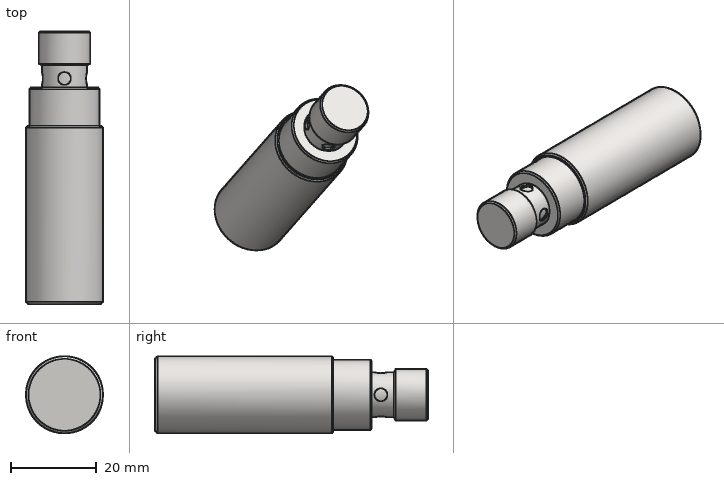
import cadquery as cq

total_length = 63.6
front_y = -total_length / 2
rear_y = total_length / 2

body_diameter = 18.0
sleeve_diameter = 16.4
neck_diameter = 10.55
connector_diameter = 12.0

connector_length = 7.95
neck_length = 5.15
sleeve_length = 9.0
body_length = total_length - connector_length - neck_length - sleeve_length

face_chamfer = 0.65
step_chamfer = 0.4

window_count = 4
window_diameter = 3.0
window_floor_diameter = 9.55
window_from_rear = 11.0
window_y = rear_y - window_from_rear


def section(diameter, start_y, length):
    """Solid cylinder along +Y starting at start_y."""
    plane = cq.Workplane("XZ", origin=(0, start_y, 0))
    return plane.circle(diameter / 2).extrude(-length)


def window_cutters():
    """Radial plugs that stop on a cylindrical floor inside the neck."""
    plug = (
        cq.Workplane("XY", origin=(0, window_y, 0))
        .circle(window_diameter / 2)
        .extrude(neck_diameter)
    )
    cutters = cq.Workplane("XY")
    for index in range(window_count):
        angle = index * 360 / window_count
        cutters = cutters.add(plug.rotate((0, 0, 0), (0, 1, 0), angle))
    floor = section(window_floor_diameter, window_y - window_diameter, 2 * window_diameter)
    return cutters.combine().cut(floor)


def connector_section(start_y):
    """Connector end: a bevel rising from the neck and a chamfered rear rim."""
    neck_radius = neck_diameter / 2
    outer_radius = connector_diameter / 2
    return (
        cq.Workplane("XY")
        .moveTo(0, start_y)
        .lineTo(neck_radius, start_y)
        .lineTo(outer_radius, start_y + step_chamfer)
        .lineTo(outer_radius, rear_y - step_chamfer)
        .lineTo(outer_radius - step_chamfer, rear_y)
        .lineTo(0, rear_y)
        .close()
        .revolve(360, (0, 0, 0), (0, 1, 0))
    )


sleeve_y = front_y + body_length
neck_y = sleeve_y + sleeve_length
connector_y = neck_y + neck_length

body = section(body_diameter, front_y, body_length)
body = body.faces("<Y").chamfer(face_chamfer).faces(">Y").chamfer(step_chamfer)

sleeve = section(sleeve_diameter, sleeve_y, sleeve_length).faces(">Y").chamfer(step_chamfer)

neck = section(neck_diameter, neck_y, neck_length).cut(window_cutters())

connector = connector_section(connector_y)

result = body.union(sleeve).union(neck).union(connector)